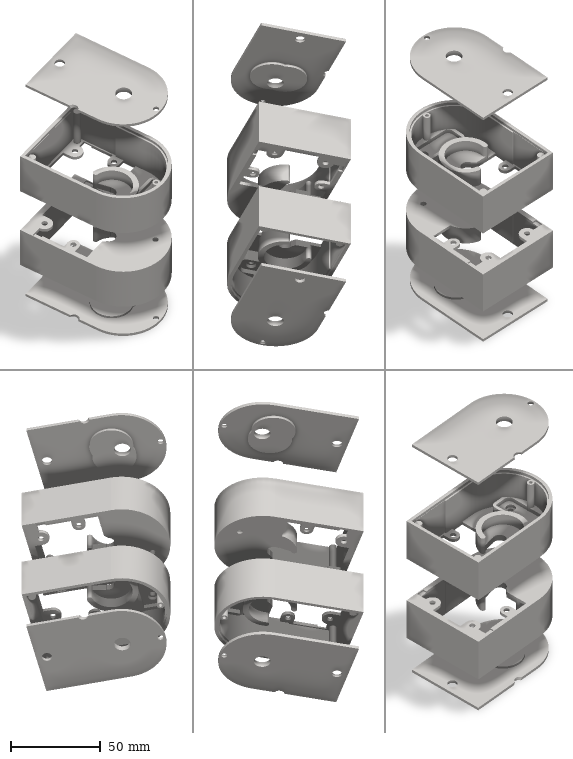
import cadquery as cq
import math

stack_height = 164.0
housing_height = 27.0
lower_split_z = 51.8
upper_split_z = 81.8

half_width = 26.98
straight_length = 50.8

rim_wall = 2.0
compartment_wall = 2.1
thick_wall = 3.0
thick_wall_start = 29.4
floor_thickness = 2.0
raised_floor = 4.0

cover_thickness = 1.8
cover_clearance = 0.2
cover_boss_height = 1.5
boss_diameter = 24.6
ring_x = 45.8
ring_y = -3.8
cover_screw_x = 8.2
cover_screw_diameter = 5.7
center_hole_x = 51.2
center_hole_diameter = 9.3
pin_hole_diameter = 3.5
post_x = 73.0
side_hole_diameter = 5.2
side_hole_x = 35.5
side_hole_y = -25.5
side_hole_lean = 0.8

window_start = 3.5
window_end = 42.8
notch_start = 8.0
notch_end = 13.1
notch_depth = 1.0
notch_half_width = 26.4

screw_hole_diameter = 3.5
end_tab_x = 8.2
end_tab_y = 15.0
end_tab_diameter = 9.3
side_tab_x = 31.0
side_tab_y = 20.0
side_tab_diameter = 7.4

rib_outer_radius = 15.1
rib_inner_radius = 11.8
rib_height = 11.0
rib_first_angle = 166.0
rib_last_angle = -96.0

cable_hole_x = 43.6
cable_hole_y = -3.3
cable_hole_diameter = 8.0
slot_outline = [
    (41.7, 0.7), (29.5, -2.0), (29.5, -18.9), (window_end, -18.9), (window_end, -9.2), (46.7, -5.2),
]

block_start = 58.4
block_half_width = 16.7
block_corner_radius = 3.1
block_height = 8.5
pocket_floor = 5.9
pocket_start = 60.2
pocket_end = 71.0
pocket_half_width = 14.8
pocket_corner_radius = 3.3
pocket_hole_x = 66.5
pocket_hole_y = 9.0
pocket_bore_diameter = 5.7
pocket_bore_depth = 2.0

post_diameter = 4.3
post_bore_diameter = 2.1
post_bore_depth = 9.8
corner_post_x = 4.8
corner_post_y = 22.1

ledge_z = housing_height - cover_thickness


def d_plate(inset, z, height):
    """D-shaped plate whose outline lies `inset` inside the outer outline."""
    side = half_width - inset
    return (
        cq.Workplane("XY", origin=(0, 0, z))
        .moveTo(inset, -side)
        .lineTo(straight_length, -side)
        .threePointArc((straight_length + side, 0), (straight_length, side))
        .lineTo(inset, side)
        .close()
        .extrude(height)
    )


def box(x_start, x_end, y_start, y_end, z, height):
    return cq.Workplane("XY").box(
        x_end - x_start, y_end - y_start, height, centered=False
    ).translate((x_start, y_start, z))


def cylinder(x, y, z, diameter, height):
    return cq.Workplane("XY", origin=(x, y, z)).circle(diameter / 2).extrude(height)


def cavity():
    rounded_end = d_plate(thick_wall, 0, housing_height)
    compartment = box(
        compartment_wall, thick_wall_start,
        compartment_wall - half_width, half_width - compartment_wall, 0, housing_height,
    )
    cover_recess = d_plate(rim_wall, ledge_z, cover_thickness)
    return rounded_end.union(compartment).union(cover_recess)


def window():
    side = half_width - thick_wall
    opening = box(window_start, window_end, -side, side, 0, raised_floor)
    notches = box(notch_start, notch_end, -notch_half_width, notch_half_width, 0, notch_depth)
    return opening.union(notches)


def screw_tabs():
    tabs = cq.Workplane("XY")
    for side in (1, -1):
        end_y = side * end_tab_y
        end_radius = end_tab_diameter / 2
        end_tab = box(rim_wall, end_tab_x, end_y - end_radius, end_y + end_radius, 0, floor_thickness)
        end_tab = end_tab.union(cylinder(end_tab_x, end_y, 0, end_tab_diameter, floor_thickness))
        side_y = side * side_tab_y
        wall_y = side * (half_width - rim_wall)
        side_radius = side_tab_diameter / 2
        side_tab = box(
            side_tab_x - side_radius, side_tab_x + side_radius,
            min(side_y, wall_y), max(side_y, wall_y), 0, floor_thickness,
        )
        side_tab = side_tab.union(cylinder(side_tab_x, side_y, 0, side_tab_diameter, floor_thickness))
        tabs = tabs.union(end_tab).union(side_tab)
    return tabs


def screw_holes():
    holes = cylinder(pocket_hole_x, pocket_hole_y, 0, screw_hole_diameter, pocket_floor)
    for side in (1, -1):
        for x, y in ((end_tab_x, end_tab_y), (side_tab_x, side_tab_y)):
            holes = holes.union(cylinder(x, side * y, 0, screw_hole_diameter, floor_thickness))
    return holes


def ring_point(radius, angle):
    turn = math.radians(angle)
    return ring_x + radius * math.cos(turn), ring_y + radius * math.sin(turn)


def curved_rib():
    """Arc-shaped rib with round ends."""
    middle_angle = (rib_first_angle + rib_last_angle) / 2
    middle_radius = (rib_outer_radius + rib_inner_radius) / 2
    rib = (
        cq.Workplane("XY")
        .moveTo(*ring_point(rib_outer_radius, rib_first_angle))
        .threePointArc(
            ring_point(rib_outer_radius, middle_angle), ring_point(rib_outer_radius, rib_last_angle)
        )
        .lineTo(*ring_point(rib_inner_radius, rib_last_angle))
        .threePointArc(
            ring_point(rib_inner_radius, middle_angle), ring_point(rib_inner_radius, rib_first_angle)
        )
        .close()
        .extrude(rib_height)
    )
    for angle in (rib_first_angle, rib_last_angle):
        end_x, end_y = ring_point(middle_radius, angle)
        rib = rib.union(cylinder(end_x, end_y, 0, rib_outer_radius - rib_inner_radius, rib_height))
    return rib


def rib_floor():
    """Raised floor inside the rib."""
    middle_diameter = rib_outer_radius + rib_inner_radius
    return cylinder(ring_x, ring_y, 0, middle_diameter, raised_floor)


def cable_slot():
    slot = cq.Workplane("XY").polyline(slot_outline).close().extrude(raised_floor)
    return slot.union(cylinder(cable_hole_x, cable_hole_y, 0, cable_hole_diameter, raised_floor))


def pocket_block():
    block = box(
        block_start, straight_length + half_width, -block_half_width, block_half_width, 0, block_height
    )
    pocket = box(
        pocket_start, pocket_end, -pocket_half_width, pocket_half_width, pocket_floor, block_height
    ).edges("|Z and >X").fillet(pocket_corner_radius)
    bore = cylinder(
        pocket_hole_x, pocket_hole_y, pocket_floor - pocket_bore_depth, pocket_bore_diameter, pocket_bore_depth
    )
    block = block.edges("|Z and <X").fillet(block_corner_radius)
    inside = d_plate(rim_wall, 0, housing_height)
    rib_inside = cylinder(ring_x, ring_y, raised_floor, 2 * rib_inner_radius, housing_height)
    return block.intersect(inside).cut(pocket).cut(bore).cut(rib_inside)


def pin_post():
    post = cylinder(post_x, 0, 0, post_diameter, ledge_z)
    return post.cut(cylinder(post_x, 0, ledge_z - post_bore_depth, post_bore_diameter, post_bore_depth))


def corner_supports():
    """Floor plates in the square corners, each with a plain post up to the cover."""
    supports = cq.Workplane("XY")
    inner_y = half_width - rim_wall
    for side in (1, -1):
        near_y = side * end_tab_y
        far_y = side * inner_y
        plate = box(rim_wall, notch_start, min(near_y, far_y), max(near_y, far_y), 0, floor_thickness)
        post = cylinder(corner_post_x, side * corner_post_y, 0, post_diameter, ledge_z)
        supports = supports.union(plate).union(post)
    return supports


def make_housing():
    """Housing with its closed face at Z = 0 and its open side up."""
    shell = d_plate(0, 0, housing_height)
    shell = shell.cut(cavity().intersect(d_plate(0, floor_thickness, housing_height)))
    shell = shell.cut(window()).union(pocket_block())
    shell = shell.union(rib_floor()).cut(cable_slot())
    shell = shell.union(curved_rib()).union(pin_post()).union(corner_supports())
    return shell.union(screw_tabs()).cut(screw_holes())


def make_cover():
    """Cover with its outer face at Z = 0 and its bosses up."""
    cover = d_plate(rim_wall + cover_clearance, 0, cover_thickness)
    total = cover_thickness + cover_boss_height
    for side in (1, -1):
        cover = cover.union(cylinder(ring_x, side * ring_y, 0, boss_diameter, total))
    cover = cover.cut(cylinder(cover_screw_x, 0, 0, cover_screw_diameter, total))
    cover = cover.cut(cylinder(center_hole_x, 0, 0, center_hole_diameter, total))
    cover = cover.cut(cylinder(post_x, 0, 0, pin_hole_diameter, total))
    leaning_hole = cq.Solid.makeCylinder(
        side_hole_diameter / 2, 3 * cover_thickness,
        cq.Vector(side_hole_x - 2 * side_hole_lean, side_hole_y, -cover_thickness),
        cq.Vector(side_hole_lean, 0, cover_thickness),
    )
    return cover.cut(cq.Workplane(leaning_hole))


housing = make_housing()
cover = make_cover()

upper_housing = housing.translate((0, 0, upper_split_z))
lower_housing = housing.mirror("XY").translate((0, 0, lower_split_z))
lower_cover = cover
upper_cover = cover.mirror("XY").translate((0, 0, stack_height))

result = cq.Compound.makeCompound([
    upper_cover.val(),
    upper_housing.val(),
    lower_housing.val(),
    lower_cover.val(),
])